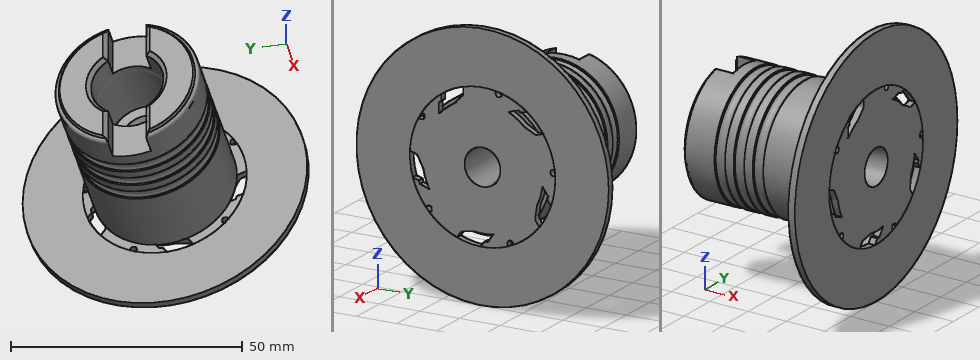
import cadquery as cq
import math

total_length = 40.0
disc_radius = 31.5
disc_thickness = 1.7
disc_back = total_length
disc_front = disc_back - disc_thickness

barrel_radius = 16.0
flange_radius = 18.15
end_face_radius = 14.75
end_cone_length = 0.55
end_round_radius = 0.9

groove_count = 3
groove_pitch = 5.0
first_groove_x = 10.0
groove_depth = 0.75
groove_half_width = 1.4
groove_rim_width = 0.2
groove_rim_depth = 0.3

hole_radius = 4.5
hole_chamfer = 0.95
counterbore_radius = 7.9
counterbore_depth = 20.15
counterbore_chamfer = 0.95
mouth_radius = 8.0
mouth_depth = 6.8
mouth_cone_length = 0.55

slot_half_width = 4.2
slot_depth = 5.6
slot_chamfer = 0.95

rim_pattern_count = 5
window_near_side = 4.85
window_far_side = 10.3
window_ledge_side = 10.9
window_ledge_radius = 16.9
window_corner_radius = 1.0
window_corner_height = 16.0
window_floor_side = 7.2
notch_radius = 0.75
notch_centre_radius = 17.75
notch_angle = 31.0


def cylinder(radius, start_x, end_x):
    """Solid cylinder on the X axis from start_x to end_x."""
    return cq.Workplane("YZ", origin=(start_x, 0, 0)).circle(radius).extrude(end_x - start_x)


def turned(profile):
    """Revolve a closed (x, radius) profile about the X axis."""
    return profile.close().revolve(360, (0, 0, 0), (1, 0, 0))


def make_barrel():
    """Barrel up to the flange, with a short cone and a rounded shoulder at the slotted end."""
    shoulder_x = end_cone_length + end_round_radius
    shoulder_radius = barrel_radius - end_round_radius
    arc_offset = end_round_radius * math.sqrt(0.5)
    profile = (
        cq.Workplane("XY")
        .lineTo(0, end_face_radius)
        .lineTo(end_cone_length, shoulder_radius)
        .threePointArc(
            (shoulder_x - arc_offset, shoulder_radius + arc_offset),
            (shoulder_x, barrel_radius),
        )
        .lineTo(disc_front, barrel_radius)
        .lineTo(disc_front, 0)
    )
    return turned(profile)


def make_groove(centre_x):
    """Ring-shaped cutter with short sloping rims and a hollow round bottom."""
    bottom_half_width = groove_half_width - groove_rim_width
    rim_bottom = barrel_radius - groove_rim_depth
    profile = (
        cq.Workplane("XY")
        .moveTo(centre_x - groove_half_width, flange_radius)
        .lineTo(centre_x - groove_half_width, barrel_radius)
        .lineTo(centre_x - bottom_half_width, rim_bottom)
        .threePointArc(
            (centre_x, barrel_radius - groove_depth),
            (centre_x + bottom_half_width, rim_bottom),
        )
        .lineTo(centre_x + groove_half_width, barrel_radius)
        .lineTo(centre_x + groove_half_width, flange_radius)
    )
    return turned(profile)


def make_bore():
    """Cutter for the through hole, its counterbore and their chamfers."""
    profile = (
        cq.Workplane("XY")
        .lineTo(0, mouth_radius + counterbore_chamfer)
        .lineTo(counterbore_chamfer, mouth_radius)
        .lineTo(mouth_depth, mouth_radius)
        .lineTo(mouth_depth + mouth_cone_length, counterbore_radius)
        .lineTo(counterbore_depth, counterbore_radius)
        .lineTo(counterbore_depth, hole_radius + hole_chamfer)
        .lineTo(counterbore_depth + hole_chamfer, hole_radius)
        .lineTo(total_length, hole_radius)
        .lineTo(total_length, 0)
    )
    return turned(profile)


def make_slot():
    """Cutter for the slot that runs along Z, with chamfered mouth edges."""
    mouth_half_width = slot_half_width + slot_chamfer
    return (
        cq.Workplane("XY")
        .moveTo(0, -mouth_half_width)
        .lineTo(slot_chamfer, -slot_half_width)
        .lineTo(slot_depth, -slot_half_width)
        .lineTo(slot_depth, slot_half_width)
        .lineTo(slot_chamfer, slot_half_width)
        .lineTo(0, mouth_half_width)
        .close()
        .extrude(barrel_radius, both=True)
    )


def on_circle(radius, side):
    """Point of a circle about the axis at the given distance toward -Y."""
    return (-side, math.sqrt(radius**2 - side**2))


def arc_middle(radius, start, end):
    """Middle of the shorter arc about the axis between two (y, z) points."""
    angle = (math.atan2(start[1], start[0]) + math.atan2(end[1], end[0])) / 2
    return (radius * math.cos(angle), radius * math.sin(angle))


def make_window():
    """Cutter open at the rim, with two parallel sides, a sloping corner, a round floor and a ledge."""
    corner_centre = (-window_near_side - window_corner_radius, window_corner_height)
    corner_middle = (
        corner_centre[0] + window_corner_radius * math.cos(math.pi / 8),
        corner_centre[1] - window_corner_radius * math.sin(math.pi / 8),
    )
    corner_offset = window_corner_radius * math.sqrt(0.5)
    slope_start = (corner_centre[0] + corner_offset, corner_centre[1] - corner_offset)
    slope_drop = slope_start[0] + window_floor_side
    floor_start = (-window_floor_side, slope_start[1] - slope_drop)

    floor_radius = math.hypot(*floor_start)
    floor_end = on_circle(floor_radius, window_ledge_side)
    ledge_start = on_circle(window_ledge_radius, window_ledge_side)
    ledge_end = on_circle(window_ledge_radius, window_far_side)
    return (
        cq.Workplane("YZ", origin=(disc_front, 0, 0))
        .moveTo(-window_near_side, flange_radius)
        .lineTo(-window_near_side, window_corner_height)
        .threePointArc(corner_middle, slope_start)
        .lineTo(*floor_start)
        .threePointArc(arc_middle(floor_radius, floor_start, floor_end), floor_end)
        .lineTo(*ledge_start)
        .threePointArc(arc_middle(window_ledge_radius, ledge_start, ledge_end), ledge_end)
        .lineTo(-window_far_side, flange_radius)
        .close()
        .extrude(disc_thickness)
    )


def make_notch():
    """Round cutter that breaks through the flange rim."""
    angle = math.radians(notch_angle)
    centre = (-notch_centre_radius * math.cos(angle), notch_centre_radius * math.sin(angle))
    return (
        cq.Workplane("YZ", origin=(disc_front, 0, 0))
        .center(*centre)
        .circle(notch_radius)
        .extrude(disc_thickness)
    )


def make_flange():
    """Thin flange with a repeating pattern of windows and notches around its rim."""
    flange = cylinder(flange_radius, disc_front, disc_back)
    for index in range(rim_pattern_count):
        turn = index * 360 / rim_pattern_count
        for cutter in (make_window(), make_notch()):
            flange = flange.cut(cutter.rotate((0, 0, 0), (1, 0, 0), turn))
    return flange


def make_hub():
    """Grooved, slotted and bored barrel with the flange at its far end."""
    hub = make_barrel().union(make_flange())
    for index in range(groove_count):
        hub = hub.cut(make_groove(first_groove_x + index * groove_pitch))
    return hub.cut(make_bore()).cut(make_slot())


def make_disc():
    """Flat ring that fits around the flange of the hub."""
    opening = cylinder(flange_radius, disc_front, disc_back)
    return cylinder(disc_radius, disc_front, disc_back).cut(opening)


hub = make_hub()
disc = make_disc()

result = cq.Compound.makeCompound([hub.val(), disc.val()])